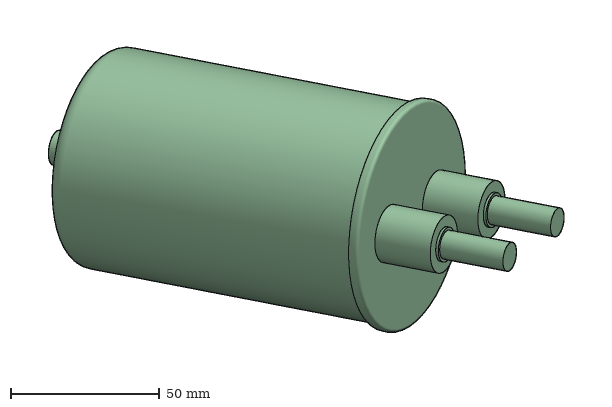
import cadquery as cq

OVERALL_LENGTH = 181.0

BODY_DIAMETER = 76.0
BODY_END_RADIUS = 5.0
CAN_LENGTH = 119.0
RIM_DIAMETER = 80.0
RIM_WIDTH = 4.0
RIM_EDGE_RADIUS = 1.2

STUD_DIAMETER = 12.0
STUD_LENGTH = 16.0

TERMINAL_SPACING = 35.0
COLLAR_DIAMETER = 20.0
COLLAR_LENGTH = 21.0
SHOULDER_DIAMETER = 12.0
SHOULDER_LENGTH = 1.0
PIN_DIAMETER = 10.0
PIN_LENGTH = OVERALL_LENGTH - STUD_LENGTH - CAN_LENGTH - COLLAR_LENGTH - SHOULDER_LENGTH


def cylinder(start_x, length, diameter, center_y=0.0):
    """Cylinder along +X from start_x, centred at center_y and Z = 0."""
    return (
        cq.Workplane("YZ", origin=(start_x, center_y, 0))
        .circle(diameter / 2)
        .extrude(length)
    )


def make_can():
    """Cylindrical can with one rounded end and a round-edged rim at the other."""
    body = cylinder(0, CAN_LENGTH, BODY_DIAMETER).faces("<X").edges().fillet(BODY_END_RADIUS)
    rim = cylinder(CAN_LENGTH - RIM_WIDTH, RIM_WIDTH, RIM_DIAMETER)
    rim = rim.faces("<X or >X").edges().fillet(RIM_EDGE_RADIUS)
    return body.union(rim)


def make_stud():
    """Plain stud on the can axis, pointing towards -X."""
    return cylinder(-STUD_LENGTH, STUD_LENGTH, STUD_DIAMETER)


def make_terminal(center_y):
    """Insulating collar, thin shoulder and pin, stacked along +X."""
    shoulder_x = CAN_LENGTH + COLLAR_LENGTH
    pin_x = shoulder_x + SHOULDER_LENGTH
    collar = cylinder(CAN_LENGTH, COLLAR_LENGTH, COLLAR_DIAMETER, center_y)
    shoulder = cylinder(shoulder_x, SHOULDER_LENGTH, SHOULDER_DIAMETER, center_y)
    pin = cylinder(pin_x, PIN_LENGTH, PIN_DIAMETER, center_y)
    return collar.union(shoulder).union(pin)


result = make_can().union(make_stud())
for side in (-1, 1):
    result = result.union(make_terminal(side * TERMINAL_SPACING / 2))